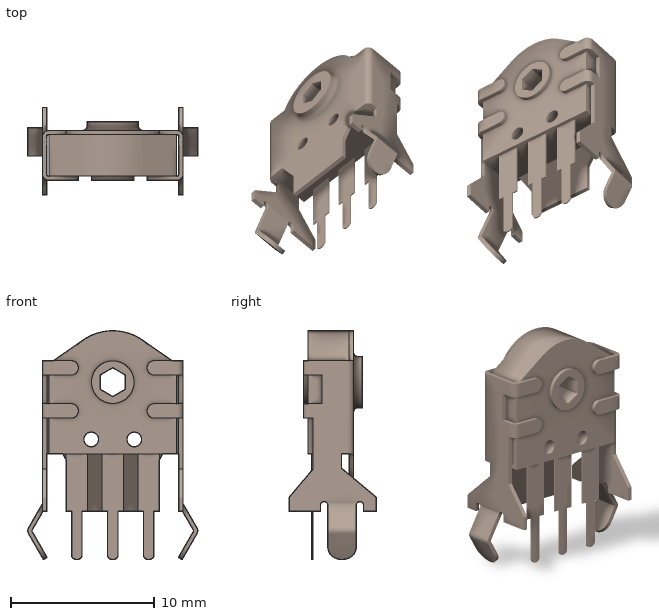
import cadquery as cq
import math


overall_width = 11.87
total_height = 15.98
sheet = 0.3

body_front = 3.2
dome_radius = 3.6
body_bottom = -5.0
body_shoulder = 1.28
rivet_hole_diameter = 1.0
rivet_hole_x = 1.5
rivet_hole_z = -4.0

front_boss_diameter = 2.97
rear_hub_diameter = 3.0
hex_corner_diameter = 2.0

bracket_width = 9.81
bracket_top = 1.5
bend_outer_radius = 0.45
bend_inner_radius = bend_outer_radius - sheet
tab_front = body_front + sheet
tab_height = 1.0
tab_pitch = 3.0
tab_tip_x = 2.4
window_depth = 2.22

collar_diameter = 3.6
collar_height = 0.6
collar_flare_radius = 0.3
tongue_top_width = 7.0
tongue_bottom_width = 4.8
tongue_taper_angle = math.radians(30)

neck_rear = 0.83
neck_front = 2.85
neck_rear_bottom = -6.01
neck_front_bottom = -6.07
foot_rear = -1.6
foot_front = 4.5
foot_shoulder = -8.04
foot_bottom = -9.01
foot_corner_radius = 0.24

clip_width = 2.0
clip_rear = -0.19
clip_bend_top = -8.45
clip_angle = math.radians(30)
clip_outer_radius = 0.4
clip_inner_radius = clip_outer_radius - sheet
relief_width = 0.5
relief_top = -8.34

pin_pitch = 2.51
pin_thickness = 0.1
pin_rear = 2.85
pin_blade_width = 1.5
pin_tail_width = 0.74
pin_tip_radius = 0.4

half_bracket = bracket_width / 2
half_inner = half_bracket - sheet
half_body = half_bracket - bend_outer_radius
lowest = dome_radius - total_height
clip_front = clip_rear + clip_width
tab_tops = [bracket_top, bracket_top - tab_pitch]
lowest_tab_bottom = tab_tops[-1] - tab_height


def front_plane(depth):
    """XZ plane at a given depth; extrusions run toward the front."""
    return cq.Workplane("XZ", origin=(0, -depth, 0))


def side_plane(x):
    """YZ plane at a given X; extrusions run toward +X."""
    return cq.Workplane("YZ", origin=(x, 0, 0))


def both_sides(shape):
    """The shape together with its mirror image across the middle of the part."""
    return shape.union(shape.mirror("YZ"))


def make_body():
    corner_distance = math.hypot(half_body, body_shoulder)
    tangent_angle = math.atan2(body_shoulder, half_body) + math.acos(dome_radius / corner_distance)
    tangent_x = dome_radius * math.cos(tangent_angle)
    tangent_z = dome_radius * math.sin(tangent_angle)
    body = (
        front_plane(sheet)
        .moveTo(-half_body, body_bottom)
        .lineTo(half_body, body_bottom)
        .lineTo(half_body, body_shoulder)
        .lineTo(tangent_x, tangent_z)
        .threePointArc((0, dome_radius), (-tangent_x, tangent_z))
        .lineTo(-half_body, body_shoulder)
        .close()
        .extrude(body_front - sheet)
    )
    front_boss = front_plane(body_front).circle(front_boss_diameter / 2).extrude(tab_front - body_front)
    hex_bore = (
        front_plane(-collar_height)
        .transformed(rotate=(0, 0, 90))
        .polygon(6, hex_corner_diameter)
        .extrude(collar_height + tab_front)
    )
    return body.union(front_boss).union(rear_hub()).cut(hex_bore).cut(rivet_hole_cutter())


def rear_hub():
    """Hub that fills the bracket collar; it also cuts the matching bore."""
    return front_plane(-collar_height).circle(rear_hub_diameter / 2).extrude(collar_height + sheet)


def rivet_hole_cutter():
    """Two through holes shared by the body and the rear plate."""
    return (
        front_plane(0)
        .pushPoints([(-rivet_hole_x, rivet_hole_z), (rivet_hole_x, rivet_hole_z)])
        .circle(rivet_hole_diameter / 2)
        .extrude(body_front)
    )


def bent_ring():
    """Closed ring of bent sheet around the body, from which channel and tabs are taken."""
    height = bracket_top - body_bottom

    def block(half_width, rear, front, radius):
        return (
            cq.Workplane("XY")
            .box(2 * half_width, front - rear, height, centered=(True, True, False))
            .edges("|Z")
            .fillet(radius)
            .translate((0, -(rear + front) / 2, body_bottom))
        )

    outer = block(half_bracket, 0, tab_front, bend_outer_radius)
    inner = block(half_inner, sheet, body_front, bend_inner_radius)
    return outer.cut(inner)


def tab(ring, top):
    """Left front tab with a round end, wrapped around the front corner."""
    radius = tab_height / 2
    round_start = -tab_tip_x - radius
    outline = (
        front_plane(window_depth)
        .moveTo(-half_bracket, top)
        .lineTo(round_start, top)
        .threePointArc((-tab_tip_x, top - radius), (round_start, top - tab_height))
        .lineTo(-half_bracket, top - tab_height)
        .close()
        .extrude(tab_front - window_depth)
    )
    return ring.intersect(outline)


def rear_plate(ring):
    rear_half = front_plane(0).rect(2 * bracket_width, 2 * total_height).extrude(neck_rear)
    dome = front_plane(0).circle(dome_radius).extrude(sheet)
    taper_run = (tongue_top_width - tongue_bottom_width) / 2
    taper_end = body_bottom - taper_run / math.tan(tongue_taper_angle)
    tongue = (
        front_plane(0)
        .moveTo(-tongue_top_width / 2, body_bottom)
        .lineTo(-tongue_bottom_width / 2, taper_end)
        .lineTo(-tongue_bottom_width / 2, foot_bottom)
        .lineTo(tongue_bottom_width / 2, foot_bottom)
        .lineTo(tongue_bottom_width / 2, taper_end)
        .lineTo(tongue_top_width / 2, body_bottom)
        .close()
        .extrude(sheet)
    )
    return ring.intersect(rear_half).union(dome).union(tongue)


def collar():
    """Drawn collar that flares into the rear plate."""
    radius = collar_diameter / 2
    flare = collar_flare_radius
    arc_drop = flare * (1 - math.sqrt(0.5))
    return (
        cq.Workplane("XY")
        .moveTo(0, -sheet)
        .lineTo(radius + flare, -sheet)
        .lineTo(radius + flare, 0)
        .threePointArc((radius + arc_drop, arc_drop), (radius, flare))
        .lineTo(radius, collar_height)
        .lineTo(0, collar_height)
        .close()
        .revolve(360, (0, 0, 0), (0, 1, 0))
    )


def leg():
    """Flat right-hand side wall, with its neck and wide foot."""
    wall = (
        side_plane(half_inner)
        .polyline([
            (-bend_outer_radius, bracket_top),
            (-window_depth, bracket_top),
            (-window_depth, lowest_tab_bottom),
            (-neck_front, lowest_tab_bottom),
            (-neck_front, neck_front_bottom),
            (-foot_front, foot_shoulder),
            (-foot_front, foot_bottom),
            (-foot_rear, foot_bottom),
            (-foot_rear, foot_shoulder),
            (-neck_rear, neck_rear_bottom),
            (-neck_rear, body_bottom),
            (-bend_outer_radius, body_bottom),
        ])
        .close()
        .extrude(sheet)
    )
    for depth in (foot_front, foot_rear):
        corner = cq.selectors.NearestToPointSelector((half_bracket - sheet / 2, -depth, foot_shoulder))
        wall = wall.edges(corner).fillet(foot_corner_radius)
    for center_depth in (clip_rear - relief_width / 2, clip_front + relief_width / 2):
        wall = wall.cut(relief_slot(center_depth))
    clip_gap = (
        side_plane(half_inner)
        .moveTo(-clip_rear, clip_bend_top)
        .lineTo(-clip_front, clip_bend_top)
        .lineTo(-clip_front, foot_bottom)
        .lineTo(-clip_rear, foot_bottom)
        .close()
        .extrude(sheet)
    )
    return wall.cut(clip_gap)


def relief_slot(center_depth):
    """Round-topped slot in the foot beside the snap clip."""
    radius = relief_width / 2
    return (
        side_plane(half_inner)
        .moveTo(-center_depth - radius, foot_bottom)
        .lineTo(-center_depth - radius, relief_top - radius)
        .threePointArc((-center_depth, relief_top), (-center_depth + radius, relief_top - radius))
        .lineTo(-center_depth + radius, foot_bottom)
        .close()
        .extrude(sheet)
    )


def snap_clip():
    """Right-hand clip: bends outward from the leg, then back inward at the elbow."""
    sin_a = math.sin(clip_angle)
    cos_a = math.cos(clip_angle)
    root_x = half_bracket + clip_inner_radius
    elbow_x = overall_width / 2 - clip_outer_radius

    def root_point(radius, angle):
        return (root_x - radius * math.cos(angle), clip_bend_top - radius * math.sin(angle))

    bend_radii = clip_inner_radius + clip_outer_radius
    arm_length = (elbow_x - root_x + bend_radii * cos_a) / sin_a
    elbow_z = clip_bend_top - bend_radii * sin_a - arm_length * cos_a

    def elbow_point(radius, angle):
        return (elbow_x + radius * math.cos(angle), elbow_z + radius * math.sin(angle))

    outer_end = elbow_point(clip_outer_radius, -clip_angle)
    inner_end = elbow_point(clip_inner_radius, -clip_angle)
    foot_length = (outer_end[1] - lowest) / cos_a
    foot_x = -foot_length * sin_a
    foot_z = -foot_length * cos_a
    outer_tip = (outer_end[0] + foot_x, lowest)
    strip = (
        front_plane(clip_rear)
        .moveTo(half_bracket, clip_bend_top)
        .threePointArc(root_point(clip_inner_radius, clip_angle / 2), root_point(clip_inner_radius, clip_angle))
        .lineTo(*elbow_point(clip_outer_radius, clip_angle))
        .threePointArc(elbow_point(clip_outer_radius, 0), outer_end)
        .lineTo(*outer_tip)
        .lineTo(inner_end[0] + foot_x, inner_end[1] + foot_z)
        .lineTo(*inner_end)
        .threePointArc(elbow_point(clip_inner_radius, 0), elbow_point(clip_inner_radius, clip_angle))
        .lineTo(*root_point(clip_outer_radius, clip_angle))
        .threePointArc(root_point(clip_outer_radius, clip_angle / 2), (half_inner, clip_bend_top))
        .close()
        .extrude(clip_width)
    )
    return strip.cut(clip_tip_waste(outer_tip))


def clip_tip_waste(outer_tip):
    """Material outside the full round at the free end of the right-hand clip."""
    radius = clip_width / 2
    plane = cq.Plane(
        origin=(outer_tip[0], -(clip_rear + clip_front) / 2, outer_tip[1]),
        xDir=(0, 1, 0),
        normal=(math.cos(clip_angle), 0, -math.sin(clip_angle)),
    )
    return (
        cq.Workplane(plane)
        .moveTo(-radius, radius)
        .threePointArc((0, 0), (radius, radius))
        .lineTo(radius, -sheet)
        .lineTo(-radius, -sheet)
        .close()
        .extrude(-sheet)
    )


def make_bracket():
    ring = bent_ring()
    bracket = rear_plate(ring).union(collar())
    for top in tab_tops:
        bracket = bracket.union(both_sides(tab(ring, top)))
    bracket = bracket.union(both_sides(leg().union(snap_clip())))
    return bracket.cut(rear_hub()).cut(rivet_hole_cutter())


def make_pin(x):
    """Contact pin: wide blade under the body, narrow tail with a rounded tip."""
    half_blade = pin_blade_width / 2
    half_tail = pin_tail_width / 2
    tip_start = lowest + pin_tip_radius - math.sqrt(pin_tip_radius ** 2 - half_tail ** 2)
    return (
        front_plane(pin_rear)
        .moveTo(x - half_blade, body_bottom)
        .lineTo(x - half_blade, foot_bottom)
        .lineTo(x - half_tail, foot_bottom)
        .lineTo(x - half_tail, tip_start)
        .threePointArc((x, lowest), (x + half_tail, tip_start))
        .lineTo(x + half_tail, foot_bottom)
        .lineTo(x + half_blade, foot_bottom)
        .lineTo(x + half_blade, body_bottom)
        .close()
        .extrude(pin_thickness)
    )


body = make_body()
bracket = make_bracket()
pins = [make_pin(i * pin_pitch) for i in (-1, 0, 1)]

result = cq.Compound.makeCompound([body.val(), bracket.val(), *[pin.val() for pin in pins]])